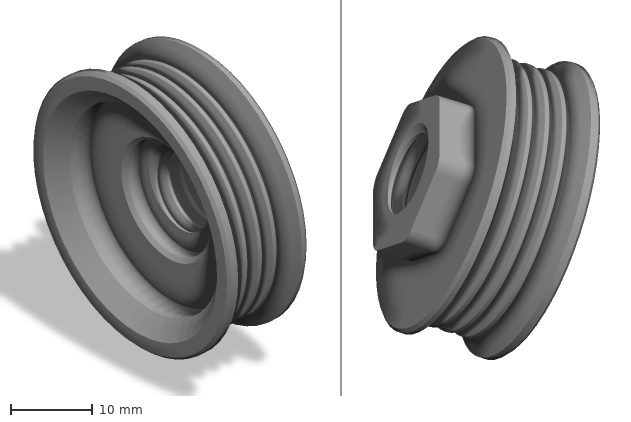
import cadquery as cq
import math

rim_radius = 19.05
pulley_width = 12.75
rim_chamfer = 0.42
front_rim_width = 1.45
back_rim_width = 1.1

groove_count = 4
groove_span = 7.0
groove_pitch = groove_span / (groove_count - 1)
groove_bottom_radius = 15.6
first_groove_y = 3.0
groove_bottom_width = 0.55
ridge_radius = 17.25
ridge_tip_width = 0.57
groove_edge_radius = 0.2

pocket_radius = 14.4
pocket_depth = 5.6
pocket_mouth_chamfer = 2.32

counterbore_radius = 7.9
counterbore_depth = 2.4
counterbore_chamfer = 0.55

hex_across_flats = 19.0
hex_height = 4.75
hex_corner_radius = 2.5

thread_minor_radius = 5.3
thread_major_radius = 6.45
thread_pitch = 1.95
thread_half_angle = 30.0
thread_root_width = 0.2
thread_start_angle = 16.0
thread_overrun = 0.2
thread_runout_turns = 2

hub_face_y = pocket_depth + counterbore_depth
overall_width = pulley_width + hex_height


def is_groove_edge(edge):
    """Tell whether a circular edge bounds a groove bottom or a ridge tip."""
    radius = edge.radius()
    return any(math.isclose(radius, target) for target in (groove_bottom_radius, ridge_radius))


def pulley_blank():
    """Revolve the outer profile, two rims with V grooves between them, and round the groove edges."""
    half_bottom = groove_bottom_width / 2
    half_tip = ridge_tip_width / 2
    points = [
        (0, 0),
        (rim_radius - rim_chamfer, 0),
        (rim_radius, rim_chamfer),
        (rim_radius, front_rim_width),
    ]
    for index in range(groove_count):
        groove_y = first_groove_y + index * groove_pitch
        points.append((groove_bottom_radius, groove_y - half_bottom))
        points.append((groove_bottom_radius, groove_y + half_bottom))
        if index < groove_count - 1:
            ridge_y = groove_y + groove_pitch / 2
            points.append((ridge_radius, ridge_y - half_tip))
            points.append((ridge_radius, ridge_y + half_tip))
    points += [
        (rim_radius, pulley_width - back_rim_width),
        (rim_radius, pulley_width - rim_chamfer),
        (rim_radius - rim_chamfer, pulley_width),
        (0, pulley_width),
    ]
    blank = cq.Workplane("XY").polyline(points).close().revolve(360, (0, 0, 0), (0, 1, 0))
    groove_edges = blank.edges("%CIRCLE").filter(is_groove_edge)
    return groove_edges.fillet(groove_edge_radius)


def hex_boss():
    """Hexagon with rounded corners, rising from the back face."""
    across_corners = hex_across_flats / math.cos(math.radians(30))
    hexagon = (
        cq.Workplane("XZ", origin=(0, overall_width, 0))
        .transformed(rotate=(0, 0, 90))
        .polygon(6, across_corners)
        .extrude(hex_height)
    )
    return hexagon.edges("|Y").fillet(hex_corner_radius)


def bore():
    """Revolve the hollow inside: pocket, counterbore and plain hole at the thread's minor radius."""
    pocket_mouth_radius = pocket_radius + pocket_mouth_chamfer
    counterbore_mouth_radius = counterbore_radius + counterbore_chamfer
    points = [
        (0, 0),
        (pocket_mouth_radius, 0),
        (pocket_radius, pocket_mouth_chamfer),
        (pocket_radius, pocket_depth),
        (counterbore_mouth_radius, pocket_depth),
        (counterbore_radius, pocket_depth + counterbore_chamfer),
        (counterbore_radius, hub_face_y),
        (thread_minor_radius, hub_face_y),
        (thread_minor_radius, overall_width),
        (0, overall_width),
    ]
    return cq.Workplane("XY").polyline(points).close().revolve(360, (0, 0, 0), (0, 1, 0))


def thread_turn():
    """Sweep a flat-rooted V along one turn of the thread helix.

    The turn ends centred on the hub face, at the start angle from +Z towards -X.
    """
    mouth_radius = thread_minor_radius - thread_overrun
    flank_width = (thread_major_radius - mouth_radius) * math.tan(math.radians(thread_half_angle))
    half_root = thread_root_width / 2
    half_mouth = half_root + flank_width
    points = [
        (mouth_radius, -half_mouth),
        (thread_major_radius, -half_root),
        (thread_major_radius, half_root),
        (mouth_radius, half_mouth),
    ]
    helix = cq.Wire.makeHelix(thread_pitch, thread_pitch, thread_minor_radius)
    profile = cq.Workplane("XZ").polyline(points).close()
    turn = profile.sweep(cq.Workplane(helix), isFrenet=True)
    along_y = turn.rotate((0, 0, 0), (1, 0, 0), -90)
    along_y = along_y.rotate((0, 0, 0), (0, 1, 0), -90 - thread_start_angle)
    return along_y.translate((0, hub_face_y - thread_pitch, 0))


def cut_thread(body):
    """Cut the thread one turn at a time, until it has run out through both ends of the hub."""
    turn = thread_turn()
    turn_count = math.ceil((overall_width - hub_face_y) / thread_pitch) + thread_runout_turns
    for index in range(turn_count):
        body = body.cut(turn.translate((0, index * thread_pitch, 0)))
    return body


result = cut_thread(pulley_blank().union(hex_boss()).cut(bore()))